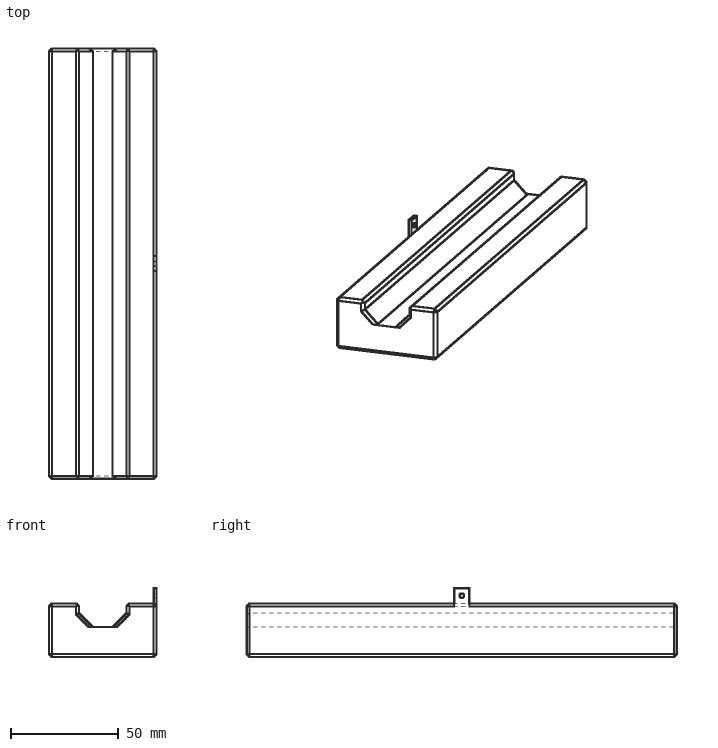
import cadquery as cq

length = 200.0
width = 50.0
block_height = 25.0
chamfer = 1.5

groove_width = 22.0
floor_width = 9.2
groove_depth = 11.0

tab_size = 7.0
tab_thickness = 1.5
tab_hole_diameter = 2.0

overcut = 2.0


def groove_section(y, growth):
    """Groove outline at y, with walls and flanks moved outward by growth at a constant floor level."""
    wall_x = groove_width / 2 + growth
    floor_x = floor_width / 2 + growth * 2**0.5
    floor_z = block_height - groove_depth
    flank_top_z = floor_z + wall_x - floor_x
    cut_top_z = block_height + overcut
    half = [(floor_x, floor_z), (wall_x, flank_top_z), (wall_x, cut_top_z)]
    mirrored = [(-x, z) for x, z in reversed(half)]
    return cq.Wire.makePolygon([cq.Vector(x, y, z) for x, z in half + mirrored], close=True)


def groove_rim():
    """Bevel both top edges of the groove."""
    bottom_x = groove_width / 2
    bottom_z = block_height - chamfer
    top_x = bottom_x + chamfer + overcut
    top_z = block_height + overcut
    outline = [(-bottom_x, bottom_z), (bottom_x, bottom_z), (top_x, top_z), (-top_x, top_z)]
    return cq.Workplane("XZ").polyline(outline).close().extrude(length / 2, both=True)


def groove_flare(side):
    """Widen the groove toward the end face on the given side (+1 or -1)."""
    end_y = side * length / 2
    inner_y = side * (length / 2 - chamfer)
    sections = [groove_section(inner_y, 0), groove_section(end_y, chamfer)]
    return cq.Workplane(obj=cq.Solid.makeLoft(sections, True))


def tab():
    """Square plate with a central hole; its foot fills the top chamfer of the block."""
    foot_z = block_height - chamfer
    plate = cq.Workplane("XY").box(
        tab_thickness, tab_size, tab_size + chamfer, centered=(False, True, False)
    ).translate((width / 2 - tab_thickness, 0, foot_z))
    hole = (
        cq.Workplane("YZ", origin=(0, 0, block_height + tab_size / 2))
        .circle(tab_hole_diameter / 2)
        .extrude(width)
    )
    return plate.cut(hole)


block = cq.Workplane("XY").box(width, length, block_height, centered=(True, True, False))
block = block.edges().chamfer(chamfer)

groove_face = cq.Face.makeFromWires(groove_section(-length / 2, 0))
groove = cq.Workplane(obj=cq.Solid.extrudeLinear(groove_face, cq.Vector(0, length, 0)))
block = block.cut(groove).cut(groove_rim())
for end in (-1, 1):
    block = block.cut(groove_flare(end))

result = block.union(tab())